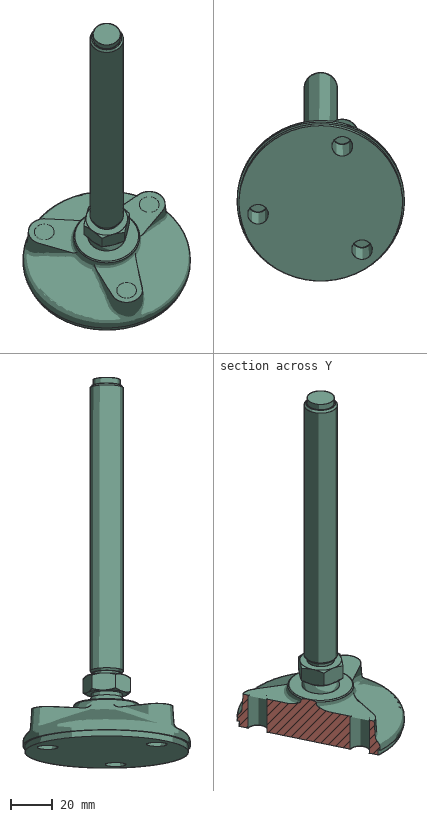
import cadquery as cq
import math

pad_diameter = 78.1
pad_height = 2.9
rim_diameter = 80.0
rim_corner_height = 7.3
rim_round = 4.0
cone_angle = 24.5
hub_diameter = 31.5
hub_top = 23.0
hub_chamfer = 0.5
hub_flare = 4.7

lug_count = 3
first_lug_angle = 90.0
lug_top = 18.5
lug_foot = 5.5
lug_reach = 30.5
lug_foot_radius = 8.5
lug_side_angle = 8.0
lug_draft = 4.0
lug_foot_fillet = 2.9
lug_hub_flare = 2.9

hole_diameter = 9.8
hole_end_chamfer = 0.2
skin_thickness = 0.5

total_height = 181.3
ball_diameter = 18.5
collar_diameter = 14.9
collar_bottom = 26.5
hex_bottom = 28.3
hex_top = 36.6
hex_flats = 20.0
hex_chamfer_angle = 30.0
neck_diameter = 13.0
thread_diameter = 16.0
thread_bottom = 38.5
shoulder_diameter = 14.3
thread_chamfer = 1.0
tip_length = 2.9

clearance = 1.8
rim_radius = rim_diameter / 2
hub_radius = hub_diameter / 2
lug_angles = [first_lug_angle + i * 360 / lug_count for i in range(lug_count)]


def revolve(profile):
    """Close a half profile and turn it around the Z axis."""
    return profile.close().revolve(360, (0, 0, 0), (0, 1, 0))


def make_plate():
    """Foot plate: flat pad, rim, conical top, and a hub flaring out of the cone."""
    cone = math.radians(cone_angle)
    hub_corner_height = rim_corner_height + (rim_radius - hub_radius) * math.tan(cone)
    tangent_ratio = math.tan((math.pi / 2 - cone) / 2)
    rim_length = rim_round * tangent_ratio
    flare_length = hub_flare * tangent_ratio
    return revolve(
        cq.Workplane("XZ")
        .lineTo(pad_diameter / 2, 0)
        .lineTo(pad_diameter / 2, pad_height)
        .lineTo(rim_radius, pad_height)
        .lineTo(rim_radius, rim_corner_height - rim_length)
        .radiusArc(
            (rim_radius - rim_length * math.cos(cone), rim_corner_height + rim_length * math.sin(cone)),
            -rim_round,
        )
        .lineTo(hub_radius + flare_length * math.cos(cone), hub_corner_height - flare_length * math.sin(cone))
        .radiusArc((hub_radius, hub_corner_height + flare_length), hub_flare)
        .lineTo(hub_radius, hub_top)
        .lineTo(0, hub_top)
    )


def make_lug_blank():
    """Lug along +X, as tall as the hub: round outer end, drafted sides spreading inward."""
    spread = math.radians(lug_side_angle)
    side_x = lug_reach + lug_foot_radius * math.sin(spread)
    side_y = lug_foot_radius * math.cos(spread)
    root_y = side_y + side_x * math.tan(spread)
    outline = (
        cq.Workplane("XY", origin=(0, 0, lug_foot))
        .moveTo(0, -root_y)
        .lineTo(side_x, -side_y)
        .threePointArc((lug_reach + lug_foot_radius, 0), (side_x, side_y))
        .lineTo(0, root_y)
        .close()
    )
    blank = outline.extrude(hub_top - lug_foot, taper=lug_draft)
    outer_half = cq.Workplane("XY").box(
        total_height, total_height, total_height, centered=(False, True, True)
    )
    return blank.intersect(outer_half)


def make_lug_cutter():
    """Ring that faces the lugs down to their top, leaving a flare around the chamfered hub."""
    ring_top = hub_top + clearance
    flare_outer = hub_radius + lug_hub_flare
    flare_top = lug_top + lug_hub_flare
    return revolve(
        cq.Workplane("XZ")
        .moveTo(hub_radius - hub_chamfer, ring_top)
        .lineTo(hub_radius - hub_chamfer, hub_top)
        .lineTo(hub_radius, hub_top - hub_chamfer)
        .lineTo(hub_radius, flare_top)
        .radiusArc((flare_outer, lug_top), -lug_hub_flare)
        .lineTo(rim_radius, lug_top)
        .lineTo(rim_radius, ring_top)
    )


def make_holes():
    """Blind holes from the underside, centred on the lug ends."""
    return (
        cq.Workplane("XY")
        .polarArray(lug_reach, first_lug_angle, 360, lug_count)
        .circle(hole_diameter / 2)
        .extrude(lug_top - skin_thickness)
        .faces(">Z")
        .chamfer(hole_end_chamfer)
    )


def make_spindle():
    """Threaded rod with tip, undercut neck, collar, and a ball sunk into the hub."""
    shoulder_height = total_height - tip_length
    ball_radius = ball_diameter / 2
    collar_radius = collar_diameter / 2
    ball_center = collar_bottom - math.sqrt(ball_radius**2 - collar_radius**2)
    spindle_bottom = hub_top - clearance
    bottom_radius = math.sqrt(ball_radius**2 - (spindle_bottom - ball_center) ** 2)
    return revolve(
        cq.Workplane("XZ")
        .moveTo(0, spindle_bottom)
        .lineTo(bottom_radius, spindle_bottom)
        .radiusArc((collar_radius, collar_bottom), -ball_radius)
        .lineTo(collar_radius, hex_bottom)
        .lineTo(neck_diameter / 2, hex_bottom)
        .lineTo(neck_diameter / 2, thread_bottom)
        .lineTo(shoulder_diameter / 2, thread_bottom)
        .lineTo(thread_diameter / 2, thread_bottom + thread_chamfer)
        .lineTo(thread_diameter / 2, shoulder_height - thread_chamfer)
        .lineTo(shoulder_diameter / 2, shoulder_height)
        .lineTo(neck_diameter / 2, shoulder_height)
        .lineTo(neck_diameter / 2, total_height)
        .lineTo(0, total_height)
    )


def make_hexagon():
    """Wrench hexagon with flats facing +Y and -Y and its corners chamfered by cones."""
    corner_radius = hex_flats / math.sqrt(3)
    flat_radius = hex_flats / 2
    corner_drop = (corner_radius - flat_radius) * math.tan(math.radians(hex_chamfer_angle))
    prism = (
        cq.Workplane("XY", origin=(0, 0, hex_bottom))
        .polygon(6, 2 * corner_radius)
        .extrude(hex_top - hex_bottom)
    )
    turned_envelope = revolve(
        cq.Workplane("XZ")
        .moveTo(0, hex_bottom)
        .lineTo(flat_radius, hex_bottom)
        .lineTo(corner_radius, hex_bottom + corner_drop)
        .lineTo(corner_radius, hex_top - corner_drop)
        .lineTo(flat_radius, hex_top)
        .lineTo(0, hex_top)
    )
    return prism.intersect(turned_envelope)


base = make_plate()
for angle in lug_angles:
    base = base.union(make_lug_blank().rotate((0, 0, 0), (0, 0, 1), angle))

base = base.edges("%HYPERBOLA").fillet(lug_foot_fillet)
base = base.cut(make_lug_cutter()).cut(make_holes())

result = base.union(make_spindle()).union(make_hexagon())